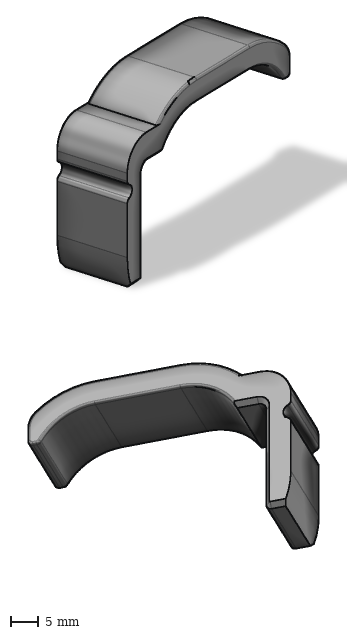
import cadquery as cq
import math

width = 16.0
length = 51.2
height = 35.05
wall = 5.0

crown_front = 21.55
crown_back = 38.2
outer_radius = 17.3
inner_radius = outer_radius - wall
arc_center_z = height - outer_radius
tail_corner_radius = 4.5
tail_tip_radius = 0.95
arm_edge_radius = 0.5

shoulder_top = height - wall
underside = 23.65
shoulder_radius = 6.0
inside_corner_radius = 1.5

leg_thickness = 5.1
leg_taper_height = 6.8
leg_taper_depth = 1.35
leg_toe_radius = 1.0
leg_chamfer = 0.95

groove_z = 20.1
groove_radius = 1.5
groove_lip_radius = 1.0


def arc_offset(radius, z):
    """Horizontal distance from an arc's centre to its point at height z."""
    return math.sqrt(radius**2 - (z - arc_center_z) ** 2)


def arc_point(center_y, radius, side, angle):
    """Point on an arm arc, with the angle measured in radians from vertical."""
    y = center_y + side * radius * math.sin(angle)
    return (y, arc_center_z + radius * math.cos(angle))


shoulder_y = crown_front - arc_offset(outer_radius, shoulder_top)
underside_y = crown_front - arc_offset(inner_radius, underside)
tail_tip_y = crown_back + arc_offset(inner_radius, underside)
tail_top_z = arc_center_z + math.sqrt(outer_radius**2 - (length - crown_back) ** 2)

shoulder_half = math.asin((crown_front - shoulder_y) / outer_radius) / 2
tail_half = math.asin((length - crown_back) / outer_radius) / 2
inner_half = math.asin((tail_tip_y - crown_back) / inner_radius) / 2

taper_radius = (leg_taper_height**2 + leg_taper_depth**2) / (2 * leg_taper_depth)
taper_mid_z = leg_taper_height / 2
taper_mid_y = taper_radius - math.sqrt(taper_radius**2 - (leg_taper_height - taper_mid_z) ** 2)


def make_blank():
    """Side outline with sharp corners, extruded across the width."""
    return (
        cq.Workplane("YZ")
        .moveTo(leg_taper_depth, 0)
        .threePointArc((taper_mid_y, taper_mid_z), (0, leg_taper_height))
        .lineTo(0, shoulder_top)
        .lineTo(shoulder_y, shoulder_top)
        .threePointArc(arc_point(crown_front, outer_radius, -1, shoulder_half), (crown_front, height))
        .lineTo(crown_back, height)
        .threePointArc(arc_point(crown_back, outer_radius, 1, tail_half), (length, tail_top_z))
        .lineTo(length, underside)
        .lineTo(tail_tip_y, underside)
        .threePointArc(arc_point(crown_back, inner_radius, 1, inner_half), (crown_back, shoulder_top))
        .lineTo(crown_front, shoulder_top)
        .threePointArc(arc_point(crown_front, inner_radius, -1, inner_half), (underside_y, underside))
        .lineTo(leg_thickness, underside)
        .lineTo(leg_thickness, 0)
        .close()
        .extrude(width / 2, both=True)
    )


def round_edge(body, y, z, radius):
    """Fillet the edge along X nearest to the given place in the side outline."""
    return body.edges("|X").edges(cq.selectors.NearestToPointSelector((0, y, z))).fillet(radius)


def round_corners(body):
    corners = [
        (0, shoulder_top, shoulder_radius),
        (length, tail_top_z, tail_corner_radius),
        (length, underside, tail_tip_radius),
        (tail_tip_y, underside, tail_tip_radius),
        (leg_thickness, underside, inside_corner_radius),
        (leg_thickness, 0, leg_toe_radius),
    ]
    for y, z, radius in corners:
        body = round_edge(body, y, z, radius)
    return body


def cut_groove(body):
    groove = (
        cq.Workplane("YZ").center(0, groove_z).circle(groove_radius).extrude(width / 2, both=True)
    )
    body = body.cut(groove)
    for side in (-1, 1):
        body = round_edge(body, 0, groove_z + side * groove_radius, groove_lip_radius)
    return body


def is_arm_edge(edge):
    """True for the outline of the arched arm, from shoulder round the tail to the underside."""
    center = edge.Center()
    on_crown_front = center.y > shoulder_y and center.z > underside + leg_chamfer
    return on_crown_front or center.y > crown_front


def is_leg_inner_edge(edge):
    """True for the shoulder underside, the back of the leg and its bottom."""
    center = edge.Center()
    on_bottom = center.z < leg_toe_radius
    on_back = center.y > leg_thickness - leg_toe_radius
    below_shoulder = center.y < underside_y and center.z < underside + inside_corner_radius
    return on_bottom or (on_back and below_shoulder)


def side_edges(body, belongs):
    """Chosen outline edges on both side faces."""
    return body.faces("<X or >X").edges().filter(belongs)


result = cut_groove(round_corners(make_blank()))
result = side_edges(result, is_leg_inner_edge).chamfer(leg_chamfer)
result = side_edges(result, is_arm_edge).fillet(arm_edge_radius)